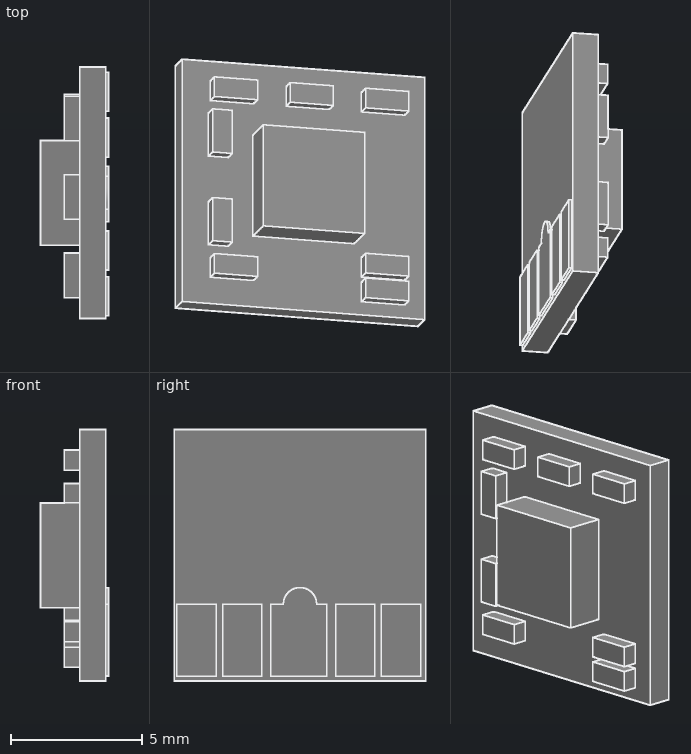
import cadquery as cq

BOARD_SIDE = 9.6
BOARD_THICKNESS = 1.0

CHIP_SIDE = 4.0
CHIP_HEIGHT = 1.5

COMPONENT_LENGTH = 1.71
COMPONENT_WIDTH = 0.78
COMPONENT_HEIGHT = 0.6

LEFT_COLUMN_Y = 2.83
MIDDLE_COLUMN_Y = -0.16
RIGHT_COLUMN_Y = -3.15
UPRIGHT_COLUMN_Y = 3.37
TOP_ROW_Z = 3.63
FLAT_CENTRES = [
    (LEFT_COLUMN_Y, TOP_ROW_Z),
    (MIDDLE_COLUMN_Y, TOP_ROW_Z),
    (RIGHT_COLUMN_Y, TOP_ROW_Z),
    (LEFT_COLUMN_Y, -3.37),
    (RIGHT_COLUMN_Y, -2.91),
    (RIGHT_COLUMN_Y, -3.89),
]
UPRIGHT_CENTRES = [
    (UPRIGHT_COLUMN_Y, 1.89),
    (UPRIGHT_COLUMN_Y, -1.62),
]

PAD_THICKNESS = 0.11
PAD_TOP_Z = -1.86
PAD_BOTTOM_Z = -4.61
PAD_HEIGHT = PAD_TOP_Z - PAD_BOTTOM_Z
SIDE_PAD_WIDTH = 1.5
MIDDLE_PAD_WIDTH = 2.13
PAD_ROW_CENTRE_Y = -0.05
PAD_OFFSETS = [2.15, 3.9]
PAD_ROUND_DIAMETER = 1.27
PAD_ROUND_CENTRE_Y = 0.0


def block(x_start, x_size, y_size, z_size, y, z):
    """Block reaching +X from x_start, centred on (y, z)."""
    return (
        cq.Workplane("XY")
        .box(x_size, y_size, z_size, centered=(False, True, True))
        .translate((x_start, y, z))
    )


def make_pad(y, width):
    return block(BOARD_THICKNESS, PAD_THICKNESS, width, PAD_HEIGHT, y, (PAD_TOP_Z + PAD_BOTTOM_Z) / 2)


def make_board():
    """Square plate with its contact pads, in one piece."""
    board = block(0, BOARD_THICKNESS, BOARD_SIDE, BOARD_SIDE, 0, 0)
    board = board.union(make_pad(PAD_ROW_CENTRE_Y, MIDDLE_PAD_WIDTH))
    round_tab = (
        cq.Workplane("YZ", origin=(BOARD_THICKNESS, PAD_ROUND_CENTRE_Y, PAD_TOP_Z))
        .circle(PAD_ROUND_DIAMETER / 2)
        .extrude(PAD_THICKNESS)
    )
    board = board.union(round_tab)
    for offset in PAD_OFFSETS:
        for side in (-1, 1):
            board = board.union(make_pad(PAD_ROW_CENTRE_Y + side * offset, SIDE_PAD_WIDTH))
    return board


def make_chip():
    return block(-CHIP_HEIGHT, CHIP_HEIGHT, CHIP_SIDE, CHIP_SIDE, 0, 0)


def make_component(y, z, upright):
    """Small component lying along Y, or along Z when upright."""
    y_size = COMPONENT_WIDTH if upright else COMPONENT_LENGTH
    z_size = COMPONENT_LENGTH if upright else COMPONENT_WIDTH
    return block(-COMPONENT_HEIGHT, COMPONENT_HEIGHT, y_size, z_size, y, z)


board = make_board()
chip = make_chip()
components = []
for y, z in FLAT_CENTRES:
    components.append(make_component(y, z, upright=False).val())
for y, z in UPRIGHT_CENTRES:
    components.append(make_component(y, z, upright=True).val())

result = cq.Compound.makeCompound([board.val(), chip.val(), *components])